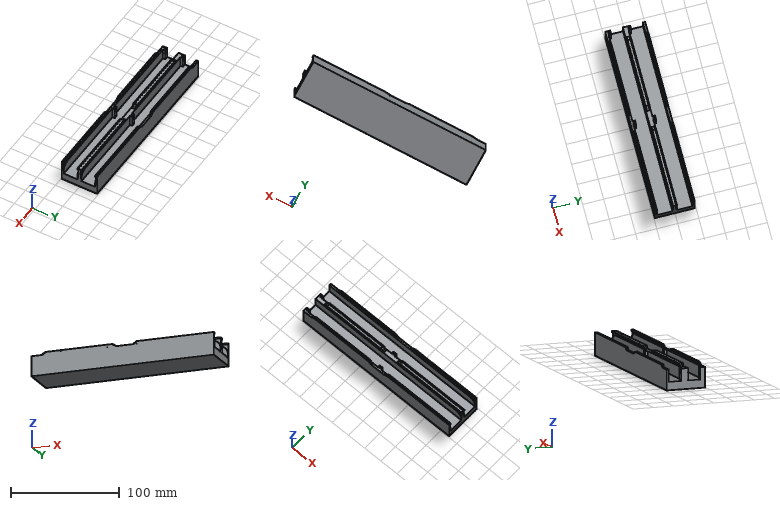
import cadquery as cq
import math

LENGTH = 180.0
WIDTH = 38.0
HEIGHT = 22.0

CHANNEL_WIDTH = 14.5
FLOOR_HEIGHT = 8.0
SIDE_WALL = 2.25
CENTRE_WALL = WIDTH - 2 * SIDE_WALL - 2 * CHANNEL_WIDTH
CHANNEL_CENTRES = [
    -(CENTRE_WALL + CHANNEL_WIDTH) / 2,
    (CENTRE_WALL + CHANNEL_WIDTH) / 2,
]

LIP_THICKNESS = 1.0
GROOVE_DEPTH = 1.0
GROOVE_FLOOR = 19.5

LEAD_IN_RADIUS = 8.0

STATION_POSITIONS = [2.0, 92.0]
DIP_FLOOR = GROOVE_FLOOR
DIP_FLOOR_LENGTH = 16.0
DIP_TOP_LENGTH = 24.0

LUG_LENGTH = 4.0
LUG_DEPTH = 2.5
LUG_TOP = GROOVE_FLOOR
LUG_HOLE_DIAMETER = 1.5
LUG_HOLE_DEPTH = 5.0
LUG_HOLE_OFFSET = 1.0


def lengthwise_box(y_centre, width, z_bottom, z_top, x_start=0.0, length=LENGTH):
    """Box that starts at x_start and is centred on y_centre."""
    return (
        cq.Workplane("XY", origin=(x_start, y_centre, z_bottom))
        .box(length, width, z_top - z_bottom, centered=(False, True, False))
    )


def lead_in(y_centre, width):
    """Convex quarter-round drop of the groove floors at the right end."""
    arc_middle = LEAD_IN_RADIUS * (1 - math.sqrt(0.5))
    return (
        cq.Workplane("XZ", origin=(LENGTH, y_centre, GROOVE_FLOOR))
        .moveTo(-LEAD_IN_RADIUS, 0)
        .threePointArc((-arc_middle, -arc_middle), (0, -LEAD_IN_RADIUS))
        .lineTo(0, 0)
        .close()
        .extrude(width / 2, both=True)
    )


def channel(y_centre):
    """Channel opening together with the undercut grooves in both of its walls."""
    opening = lengthwise_box(y_centre, CHANNEL_WIDTH, FLOOR_HEIGHT, HEIGHT)
    groove_width = CHANNEL_WIDTH + 2 * GROOVE_DEPTH
    grooves = lengthwise_box(y_centre, groove_width, GROOVE_FLOOR, HEIGHT - LIP_THICKNESS)
    return opening.union(grooves).union(lead_in(y_centre, groove_width))


def dip(x_centre):
    """Trapezoid cut with sloping ends across all the wall tops."""
    half_floor = DIP_FLOOR_LENGTH / 2
    half_top = DIP_TOP_LENGTH / 2
    return (
        cq.Workplane("XZ", origin=(x_centre, 0, 0))
        .polyline([
            (-half_top, HEIGHT),
            (-half_floor, DIP_FLOOR),
            (half_floor, DIP_FLOOR),
            (half_top, HEIGHT),
        ])
        .close()
        .extrude(WIDTH / 2, both=True)
    )


def lug(x_centre, wall_face):
    """Lug against the wall face, with a blind hole in its top."""
    block = lengthwise_box(
        wall_face + LUG_DEPTH / 2, LUG_DEPTH, FLOOR_HEIGHT, LUG_TOP,
        x_centre - LUG_LENGTH / 2, LUG_LENGTH,
    )
    hole = (
        cq.Workplane("XY", origin=(x_centre, wall_face + LUG_HOLE_OFFSET, LUG_TOP))
        .circle(LUG_HOLE_DIAMETER / 2)
        .extrude(-LUG_HOLE_DEPTH)
    )
    return block.cut(hole)


result = lengthwise_box(0, WIDTH, 0, HEIGHT)
for channel_y in CHANNEL_CENTRES:
    wall_face = channel_y - CHANNEL_WIDTH / 2
    result = result.cut(channel(channel_y))
    for station_x in STATION_POSITIONS:
        result = result.union(lug(station_x, wall_face))
for station_x in STATION_POSITIONS:
    result = result.cut(dip(station_x), clean=False)